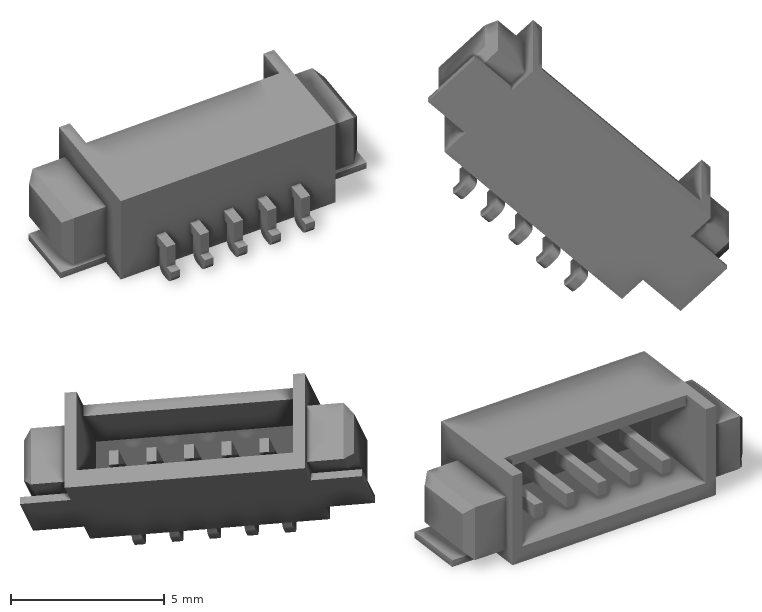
import cadquery as cq


housing_depth = 4.2
housing_length = 8.0
housing_height = 3.4
wall = 0.4
floor_thickness = 0.59
cavity_depth = 3.2
roof_setback = 1.11

lug_front = wall
lug_back = 3.2
lug_bottom = 0.4
lug_top = 2.4
lug_reach = 1.5
lug_chamfer = 0.3

strap_front = 1.0
strap_back = lug_back
strap_thickness = 0.25
strap_length = 11.4

pin_count = 5
pin_pitch = 1.25
pin_width = 0.33
pin_tip = 0.7
pin_bottom = 1.0
blade_height = 0.5
tail_thickness = 0.38
leg_front = 4.4
leg_back = 4.89
foot_end = 5.2
foot_height = 0.51
foot_radius = 0.27

cavity_length = housing_length - 2 * wall
cavity_top = housing_height - wall
pin_positions = [(i - (pin_count - 1) / 2) * pin_pitch for i in range(pin_count)]


def block(x_min, x_max, length, z_min, z_max):
    """Box between the given X and Z limits, centred on Y = 0."""
    return cq.Workplane("XY").box(
        x_max - x_min, length, z_max - z_min, centered=(False, True, False)
    ).translate((x_min, 0, z_min))


def make_lugs():
    """Both lugs as one bar through the housing, its two ends chamfered all round."""
    bar_length = housing_length + 2 * lug_reach
    bar = block(lug_front, lug_back, bar_length, lug_bottom, lug_top)
    return bar.faces("<Y or >Y").chamfer(lug_chamfer)


def make_strap():
    """Flat strap whose ends stick out below the lugs as solder tabs."""
    return block(strap_front, strap_back, strap_length, 0, strap_thickness)


def make_housing():
    """Shell open at the front, with lugs, a strap channel and pin holes."""
    shell = block(0, housing_depth, housing_length, 0, housing_height)
    cavity = block(0, cavity_depth, cavity_length, floor_thickness, cavity_top)
    roof_notch = block(0, roof_setback, cavity_length, floor_thickness, housing_height)
    housing = shell.union(make_lugs()).cut(cavity).cut(roof_notch).cut(make_strap())

    pin_hole = block(cavity_depth, housing_depth, pin_width, pin_bottom, pin_bottom + blade_height)
    for y in pin_positions:
        housing = housing.cut(pin_hole.translate((0, y, 0)))
    return housing.solids()


def make_pin(y):
    """Blade through the back wall, thinner outside it, bent down to a rounded foot."""
    blade_top = pin_bottom + blade_height
    tail_top = pin_bottom + tail_thickness
    profile = (
        cq.Workplane("XZ")
        .moveTo(pin_tip, pin_bottom)
        .lineTo(pin_tip, blade_top)
        .lineTo(housing_depth, blade_top)
        .lineTo(housing_depth, tail_top)
        .lineTo(leg_back, tail_top)
        .lineTo(leg_back, foot_height)
        .lineTo(foot_end, foot_height)
        .lineTo(foot_end, foot_radius)
        .radiusArc((foot_end - foot_radius, 0), foot_radius)
        .lineTo(leg_front + foot_radius, 0)
        .radiusArc((leg_front, foot_radius), foot_radius)
        .lineTo(leg_front, pin_bottom)
        .close()
    )
    pin = profile.extrude(pin_width / 2, both=True).translate((0, y, 0))
    return pin.solids()


housing = make_housing()
strap = make_strap()
pins = [make_pin(y) for y in pin_positions]

result = cq.Compound.makeCompound([housing.val(), strap.val(), *[pin.val() for pin in pins]])